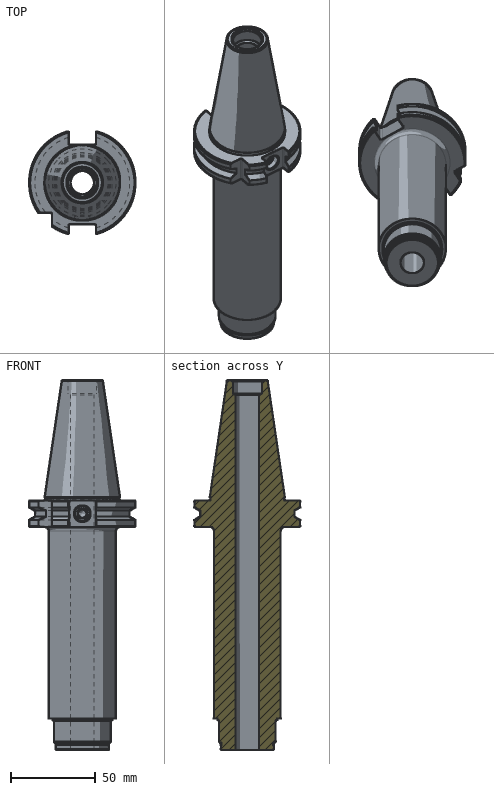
import cadquery as cq
import math

total_length = 220.2
gauge_z = 150.5
flange_top_z = 148.5
flange_bottom_z = 132.8
shoulder_z = 18.7

gauge_radius = 22.5
taper_half_slope = 7 / 48
taper_top_radius = gauge_radius - (total_length - gauge_z) * taper_half_slope
taper_top_chamfer = 0.7
neck_radius = 22.0
neck_fillet = 0.7

flange_radius = 31.7
flange_chamfer = 0.7
groove_radius = 28.2
groove_center_z = 140.7
groove_floor_width = 3.5
groove_half_angle = 30.0

body_radius = 20.0
body_fillet = 2.5
nose_radius = 17.0
relief_step = 0.7
relief_radius = 17.8
nose_bottom_z = 4.5
nose_chamfer = 0.7
collar_neck_radius = 15.5
collar_radius = 32.0 / 2
collar_top_z = 3.0
collar_chamfer = 0.7

through_radius = 13.9 / 2
counterbore_radius = 17.0 / 2
counterbore_depth = 8.0
counterbore_cone_height = 0.9
mouth_radius = 19.0 / 2

slot_width = 16.0
mouth_chamfer = 0.55
front_slot_distance = 24.9
rear_slot_distance = 22.7
slot_fillet = 0.7
notch_distance = 18.0

chip_mouth_radius = 10.0 / 2
chip_radius = 9.0 / 2
chip_depth = 4.6
pilot_mouth_radius = 6.0 / 2
pilot_radius = 5.0 / 2
pilot_depth = 1.0
drill_tip_angle = 118.0


def make_blank():
    """Revolved outside shape: nose, body, grooved flange, neck and taper."""
    groove_rise = (flange_radius - groove_radius) * math.tan(math.radians(groove_half_angle))
    floor_half = groove_floor_width / 2
    mouth_half = floor_half + groove_rise
    rim = flange_radius - flange_chamfer
    return (
        cq.Workplane("XZ")
        .moveTo(0, 0)
        .lineTo(collar_radius - collar_chamfer, 0)
        .lineTo(collar_radius, collar_chamfer)
        .lineTo(collar_radius, collar_top_z)
        .lineTo(collar_neck_radius, collar_top_z)
        .lineTo(collar_neck_radius, nose_bottom_z)
        .lineTo(nose_radius - nose_chamfer, nose_bottom_z)
        .lineTo(nose_radius, nose_bottom_z + nose_chamfer)
        .lineTo(nose_radius, shoulder_z - 2 * relief_step)
        .lineTo(relief_radius, shoulder_z - relief_step)
        .lineTo(relief_radius, shoulder_z)
        .lineTo(body_radius, shoulder_z)
        .lineTo(body_radius, flange_bottom_z - body_fillet)
        .radiusArc((body_radius + body_fillet, flange_bottom_z), body_fillet)
        .lineTo(rim, flange_bottom_z)
        .lineTo(flange_radius, flange_bottom_z + flange_chamfer)
        .lineTo(flange_radius, groove_center_z - mouth_half)
        .lineTo(groove_radius, groove_center_z - floor_half)
        .lineTo(groove_radius, groove_center_z + floor_half)
        .lineTo(flange_radius, groove_center_z + mouth_half)
        .lineTo(flange_radius, flange_top_z - flange_chamfer)
        .lineTo(rim, flange_top_z)
        .lineTo(neck_radius + neck_fillet, flange_top_z)
        .radiusArc((neck_radius, flange_top_z + neck_fillet), neck_fillet)
        .lineTo(neck_radius, gauge_z - gauge_radius + neck_radius)
        .lineTo(gauge_radius, gauge_z)
        .lineTo(taper_top_radius, total_length - taper_top_chamfer)
        .lineTo(taper_top_radius - taper_top_chamfer, total_length)
        .lineTo(0, total_length)
        .close()
        .revolve(360, (0, 0, 0), (0, 1, 0))
    )


def make_bore():
    """Through bore with a cone-bottomed counterbore and a chamfered mouth at the taper end."""
    mouth_height = mouth_radius - counterbore_radius
    cone_top_z = total_length - counterbore_depth
    return (
        cq.Workplane("XZ")
        .moveTo(0, 0)
        .lineTo(through_radius, 0)
        .lineTo(through_radius, cone_top_z - counterbore_cone_height)
        .lineTo(counterbore_radius, cone_top_z)
        .lineTo(counterbore_radius, total_length - mouth_height)
        .lineTo(mouth_radius, total_length)
        .lineTo(0, total_length)
        .close()
        .revolve(360, (0, 0, 0), (0, 1, 0))
    )


def flange_prism(outline):
    """Extrude closed XY points through the full height of the flange."""
    return (
        cq.Workplane("XY", origin=(0, 0, flange_bottom_z))
        .polyline(outline)
        .close()
        .extrude(flange_top_z - flange_bottom_z)
    )


def make_slot(distance, side):
    """Radial slot toward +Y (side = 1) or -Y (side = -1), widened at the flange rim."""
    half = slot_width / 2
    rim_y = math.sqrt(flange_radius**2 - (half + mouth_chamfer) ** 2)
    outline = [
        (-half, side * distance),
        (half, side * distance),
        (half, side * (rim_y - mouth_chamfer)),
        (half + mouth_chamfer, side * rim_y),
        (half + mouth_chamfer, side * flange_radius),
        (-half - mouth_chamfer, side * flange_radius),
        (-half - mouth_chamfer, side * rim_y),
        (-half, side * (rim_y - mouth_chamfer)),
    ]
    return flange_prism(outline)


def make_notch():
    """Square corner notch in the -X, -Y quadrant of the flange."""
    outer = -flange_radius
    inner = -notch_distance
    outline = [(inner, inner), (inner, outer), (outer, outer), (outer, inner)]
    return flange_prism(outline)


def make_chip_hole():
    """Hole along +Y with a drill-pointed pilot in its flat floor; both mouths are chamfered."""
    mouth_y = -front_slot_distance
    floor_y = mouth_y + chip_depth
    pilot_y = floor_y + pilot_depth
    tip_y = pilot_y + pilot_radius / math.tan(math.radians(drill_tip_angle / 2))
    return (
        cq.Workplane("XY")
        .polyline([
            (0, mouth_y),
            (chip_mouth_radius, mouth_y),
            (chip_radius, mouth_y + chip_mouth_radius - chip_radius),
            (chip_radius, floor_y),
            (pilot_mouth_radius, floor_y),
            (pilot_radius, floor_y + pilot_mouth_radius - pilot_radius),
            (pilot_radius, pilot_y),
            (0, tip_y),
        ])
        .close()
        .revolve(360, (0, 0, 0), (0, 1, 0))
        .translate((0, 0, groove_center_z))
    )


rear_slot = make_slot(rear_slot_distance, 1).edges("|Z and <Y").fillet(slot_fillet)
front_slot = make_slot(front_slot_distance, -1).edges("|Z and >Y").fillet(slot_fillet)
notch = make_notch().edges("|Z and >X and >Y").fillet(slot_fillet)

result = (
    make_blank()
    .cut(make_bore())
    .cut(rear_slot)
    .cut(front_slot)
    .cut(notch)
    .cut(make_chip_hole())
)